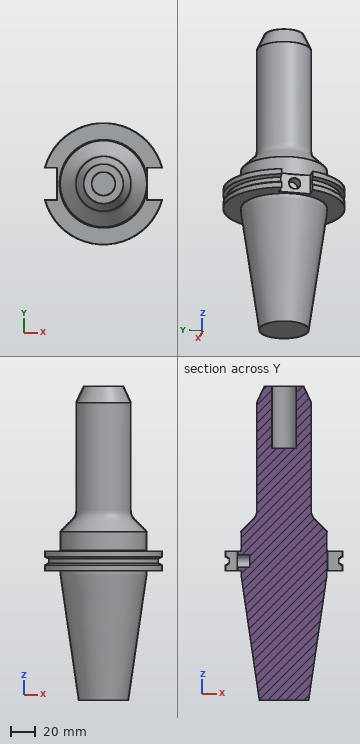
import cadquery as cq
import math


gauge_radius = 69.85 / 2
taper_length = 101.6
taper_per_length = 7 / 24
taper_end_radius = gauge_radius - taper_length * taper_per_length / 2

flange_radius = 98.425 / 2
flange_bottom = 3.175
flange_top = 19.05
groove_center = (flange_bottom + flange_top) / 2
groove_floor_width = 3.7
groove_depth = 2.94
groove_wall_angle = math.radians(30)
groove_floor_radius = flange_radius - groove_depth
groove_wall_height = groove_depth * math.tan(groove_wall_angle)

slot_width = 25.9
slot_floor_left = 37.7
slot_floor_right = 35.3

side_hole_diameter = 9.525
side_hole_depth = 10.0

collar_radius = gauge_radius
collar_top = 34.925
shoulder_angle = math.radians(45)
nose_radius = 44.45 / 2
nose_fillet = 9.525
nose_top = 152.4
tip_radius = 32.0 / 2
tip_cone_height = 13.3

foot_fillet = 0.8

bore_diameter = 19.05
bore_depth = 50.0


def groove_points():
    """Corners of the V groove in (radius, height), from bottom to top."""
    half_floor = groove_floor_width / 2
    half_mouth = half_floor + groove_wall_height
    return [
        (flange_radius, groove_center - half_mouth),
        (groove_floor_radius, groove_center - half_floor),
        (groove_floor_radius, groove_center + half_floor),
        (flange_radius, groove_center + half_mouth),
    ]


def turned_body():
    """Revolve the outer profile about Z."""
    fillet_foot_radius = nose_radius + nose_fillet * (1 - math.cos(shoulder_angle))
    fillet_foot_height = collar_top + (collar_radius - fillet_foot_radius) * math.tan(shoulder_angle)
    fillet_top_height = fillet_foot_height + nose_fillet * math.sin(shoulder_angle)
    fillet_middle = (
        nose_radius + nose_fillet * (1 - math.cos(shoulder_angle / 2)),
        fillet_top_height - nose_fillet * math.sin(shoulder_angle / 2),
    )

    profile = cq.Workplane("XZ").moveTo(0, -taper_length)
    profile = profile.lineTo(taper_end_radius, -taper_length)
    profile = profile.lineTo(gauge_radius, 0)
    profile = profile.lineTo(gauge_radius, flange_bottom)
    profile = profile.lineTo(flange_radius, flange_bottom)
    for radius, height in groove_points():
        profile = profile.lineTo(radius, height)
    profile = profile.lineTo(flange_radius, flange_top)
    profile = profile.lineTo(collar_radius + foot_fillet, flange_top)
    profile = profile.radiusArc((collar_radius, flange_top + foot_fillet), foot_fillet)
    profile = profile.lineTo(collar_radius, collar_top)
    profile = profile.lineTo(fillet_foot_radius, fillet_foot_height)
    profile = profile.threePointArc(fillet_middle, (nose_radius, fillet_top_height))
    profile = profile.lineTo(nose_radius, nose_top - tip_cone_height)
    profile = profile.lineTo(tip_radius, nose_top)
    profile = profile.lineTo(0, nose_top)
    return profile.close().revolve(360, (0, 0, 0), (0, 1, 0))


def drive_slot(floor_distance, side):
    """Block that cuts one drive slot; side is -1 for -X and +1 for +X."""
    height = flange_top + foot_fillet - flange_bottom
    block = cq.Workplane("XY").box(flange_radius, slot_width, height)
    center_x = side * (floor_distance + flange_radius / 2)
    return block.translate((center_x, 0, flange_bottom + height / 2))


def side_hole():
    """Cylinder going inward from the floor of the left slot."""
    plane = cq.Workplane("YZ", origin=(-slot_floor_left, 0, groove_center))
    return plane.circle(side_hole_diameter / 2).extrude(side_hole_depth)


def tool_bore():
    """Blind cylinder going down from the nose face."""
    plane = cq.Workplane("XY", origin=(0, 0, nose_top))
    return plane.circle(bore_diameter / 2).extrude(-bore_depth)


result = turned_body()
result = result.cut(drive_slot(slot_floor_left, -1))
result = result.cut(drive_slot(slot_floor_right, 1))
result = result.cut(side_hole())
result = result.cut(tool_bore())